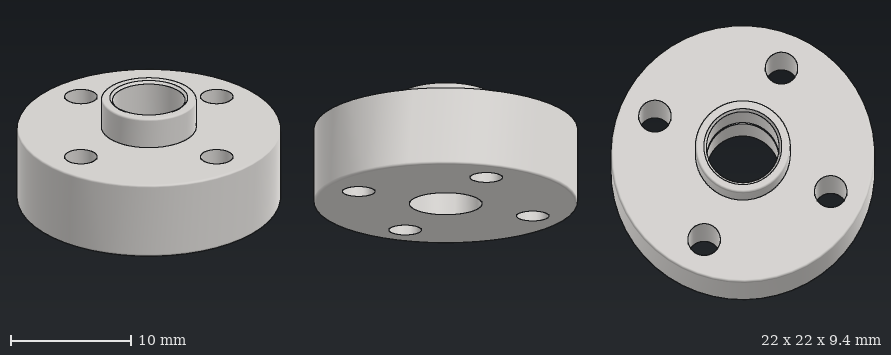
import cadquery as cq

flange_diameter = 22.0
total_height = 9.4
flange_height = 6.7
hub_diameter = 7.92
edge_radius = 0.25

bore_diameter = 6.05
bore_chamfer = 0.22
groove_radius = 0.25
groove_top_depth = 4.27

hole_count = 4
hole_diameter = 2.7
hole_circle_diameter = 16.0


def rounded_flange():
    disc = cq.Workplane("XY").circle(flange_diameter / 2).extrude(flange_height)
    return disc.faces("<Z or >Z").edges().fillet(edge_radius)


def rounded_hub():
    hub = cq.Workplane("XY").circle(hub_diameter / 2).extrude(total_height)
    return hub.faces(">Z").edges().fillet(edge_radius)


def cut_bore(body):
    bore_radius = bore_diameter / 2
    groove_top = total_height - groove_top_depth
    groove_middle = groove_top - groove_radius
    groove_bottom = groove_middle - groove_radius
    bore = (
        cq.Workplane("XZ")
        .lineTo(bore_radius, 0)
        .lineTo(bore_radius, groove_bottom)
        .threePointArc((bore_radius + groove_radius, groove_middle), (bore_radius, groove_top))
        .lineTo(bore_radius, total_height - bore_chamfer)
        .lineTo(bore_radius + bore_chamfer, total_height)
        .lineTo(0, total_height)
        .close()
        .revolve(360, (0, 0, 0), (0, 1, 0))
    )
    return body.cut(bore)


def cut_mounting_holes(body):
    holes = (
        cq.Workplane("XY")
        .polarArray(hole_circle_diameter / 2, 0, 360, hole_count)
        .circle(hole_diameter / 2)
        .extrude(flange_height)
    )
    return body.cut(holes)


result = cut_mounting_holes(cut_bore(rounded_flange().union(rounded_hub())))